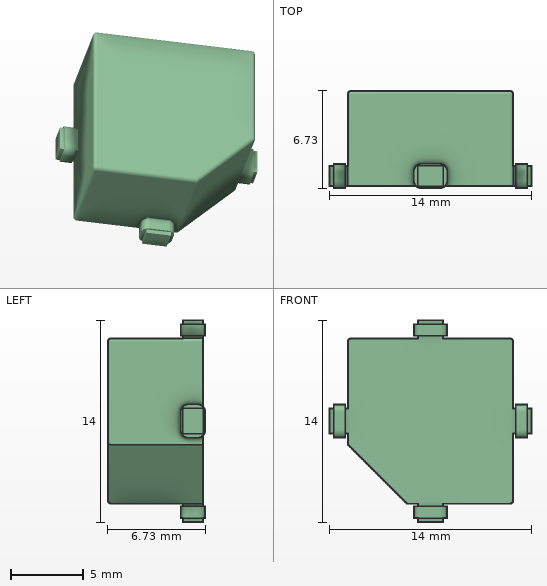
import cadquery as cq

overall_span = 13.97
overall_depth = 6.73

block_side = 11.44
collar_overhang_depth = 0.14
block_depth = overall_depth - collar_overhang_depth
corner_cut = 4.1
edge_radius = 0.24

stud_width = 1.75
stud_depth = 1.41

collar_overhang_width = 0.28
collar_width = stud_width + 2 * collar_overhang_width
collar_depth = stud_depth + 2 * collar_overhang_depth
collar_radius = 0.52
collar_length = 0.82
collar_end_gap = 0.28

half_side = block_side / 2
half_span = overall_span / 2


def make_block():
    """Block with three rounded square corners, rounded rear edges and a sharp front face."""
    outline = (
        cq.Workplane("XZ")
        .moveTo(-half_side, half_side)
        .lineTo(half_side, half_side)
        .lineTo(half_side, -half_side)
        .lineTo(-half_side + corner_cut, -half_side)
        .lineTo(-half_side, -half_side + corner_cut)
        .close()
    )
    block = outline.extrude(-block_depth)
    square_corners = block.edges("|Y").edges(">X or >Z")
    return square_corners.fillet(edge_radius).faces(">Y").edges().fillet(edge_radius)


def make_top_stud():
    """Stud and collar on the +Z side; the stud is rooted at the block centre."""
    mid_depth = stud_depth / 2
    collar_start = half_span - collar_end_gap - collar_length
    stud = (
        cq.Workplane("XY")
        .center(0, mid_depth)
        .rect(stud_width, stud_depth)
        .extrude(half_span)
    )
    collar = (
        cq.Workplane("XY", origin=(0, mid_depth, collar_start))
        .rect(collar_width, collar_depth)
        .extrude(collar_length)
        .edges("|Z")
        .fillet(collar_radius)
    )
    return stud.union(collar)


result = make_block()
top_stud = make_top_stud()
for angle in (0, 90, 180, 270):
    result = result.union(top_stud.rotate((0, 0, 0), (0, 1, 0), angle))